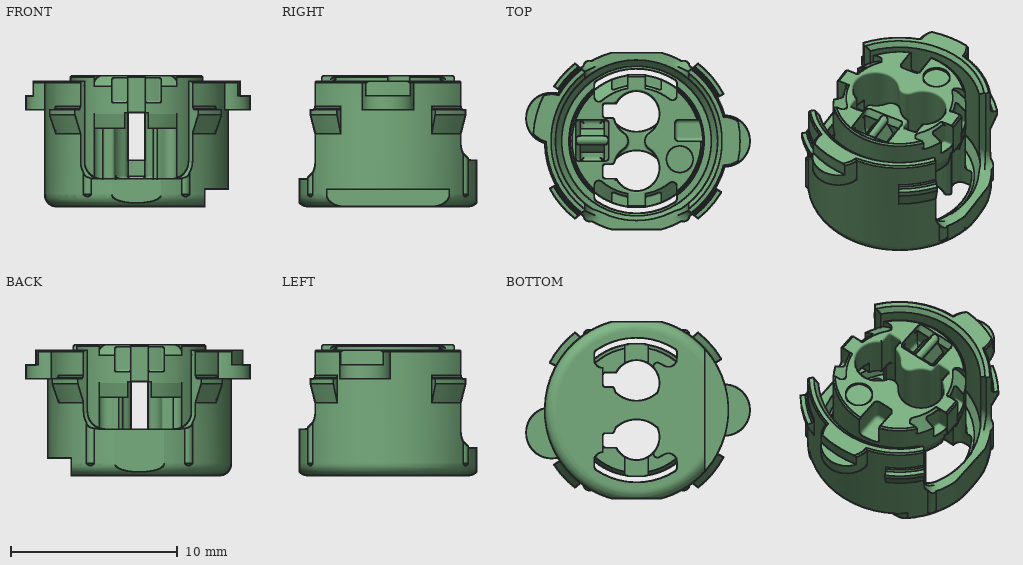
import cadquery as cq
import math

length = 13.42
cup_radius = 5.5
cup_height = 7.52
cup_bottom_round = 0.72
cup_inner_radius = 4.86
cup_taper_top = 1.83
floor_radius = 4.48
floor_top = 1.21
rim_chamfer = 0.1
rim_bevel = 0.27
flat_distance = 5.3
step_x = 4.09
step_height = 1.05

opening_half_width = 3.11
opening_flare_start = 4.16
opening_flare_run = 0.8
opening_flare_rise = 0.68
opening_corner_round = 1.03
opening_inner_y = 2.68
front_opening_bottom = 1.66
back_opening_bottom = 2.79

rib_x = 2.82
rib_y = 4.45
rib_radius = 0.36
rib_bottom = 0.6
rib_chamfer = 0.13

ear_radius = 1.55
left_ear_turn = 15.0
ear_bottom = 5.8
ear_step = 6.63
ear_step_radius = 6.2
ear_edge = 0.11

barb_radius = 5.93
barb_neck_radius = 5.65
barb_top = 5.8
barb_neck_top = 6.01
barb_neck_middle = (5.55, 5.89)
barb_edge = 5.49
barb_bottom = 4.37
barb_start_angle = 33.0
barb_end_angles = {(1, 1): 61.6, (1, -1): 59.0, (-1, -1): 61.4, (-1, 1): 56.5}

plug_radius = 3.97
plug_height = 7.85
plug_edge = 0.11
plug_foot = 0.08

window_center_x = -0.05
window_half_width = 2.47
window_outer_radius = 4.32
window_outer_round = 0.27
window_inner_radius = 3.13
window_inner_round = 0.51
head_bottom = 4.68
head_draft_top = 5.55
head_draft = 0.21

bevel_radius = 3.2
bevel_bottom = 7.2
bevel_round = 0.27
block_half_width = 0.52
notch_half_width = 1.49
notch_radius = 3.35
notch_bottom = 6.23
notch_round = 0.12
slot_half_width = 0.7
slot_top = 5.62

bore_y = 1.617
bore_radius = 1.37
waist_half_width = 0.503
waist_floor = 1.66
waist_floor_round = 0.17
web_half_width = 0.56
web_radius = 1.81
keyway_end = -2.01
keyway_inner_y = 1.4
keyway_outer_y = 2.24
keyway_round = 0.13
keyway_junction_round = 0.19
bore_edge = 0.13
lip_radius = 0.23

bar_pocket_x = -2.66
bar_pocket_y = 0.04
bar_pocket_size = (1.99, 2.5)
bar_pocket_floor_width = 1.42
bar_pocket_floor_round = 0.27
bar_pocket_corner = 0.2
bar_pocket_lip_depth = 0.4
bar_pocket_floor = 6.17
bar_radius = 0.27
bar_z = 7.54
bar_foot_half_width = 0.71
bar_foot_shoulder = 6.85
side_pocket_x = 2.3
side_pocket_low_y = -0.01
side_pocket_high_y = 1.29
side_pocket_floor = 6.17
side_pocket_round = 0.24
side_pocket_corner = 0.25
disc_x = 2.59
disc_y = -1.09
disc_diameter = 1.6
disc_depth = 0.13


def cylinder(radius, bottom, top, x=0.0, y=0.0):
    return cq.Workplane("XY", origin=(x, y, bottom)).circle(radius).extrude(top - bottom)


def block(x_range, y_range, z_range):
    size = [high - low for low, high in (x_range, y_range, z_range)]
    corner = (x_range[0], y_range[0], z_range[0])
    return cq.Workplane("XY").box(*size, centered=False).translate(corner)


def both_x_boxes(low, high):
    """Selects whatever is centred in a box or in its mirror image across X = 0."""
    mirrored = cq.selectors.BoxSelector((-high[0], *low[1:]), (-low[0], *high[1:]))
    return cq.selectors.BoxSelector(low, high) + mirrored


def revolved(points, angle=360.0):
    """Turn a closed (radius, z) outline about the Z axis."""
    return cq.Workplane("XZ").polyline(points).close().revolve(angle, (0, 0, 0), (0, 1, 0))


def both_sides(shape):
    return shape.union(shape.mirror("XZ"))


def make_cup():
    cup = cylinder(cup_radius, 0, cup_height)
    cup = cup.faces("<Z").edges().fillet(cup_bottom_round)
    cup = cup.faces(">Z").edges().chamfer(rim_chamfer)
    for x in (-rib_x, rib_x):
        for y in (-rib_y, rib_y):
            rib = cylinder(rib_radius, rib_bottom, cup_height / 2, x, y)
            cup = cup.union(rib.faces("<Z").chamfer(rib_chamfer))
    return cup


def make_ear(angle):
    """A round ear whose upper part is cut back concentric with the cup."""
    reach = (length - 2 * ear_radius) / (1 + math.cos(math.radians(left_ear_turn)))
    ear = cylinder(ear_radius, ear_bottom, cup_height, reach).faces(">Z").edges().chamfer(ear_edge)
    step = cylinder(length, ear_step, cup_height).cut(cylinder(ear_step_radius, ear_step, cup_height))
    return ear.cut(step).rotate((0, 0, 0), (0, 0, 1), angle)


def make_barb(side_x, side_y, end_angle):
    """A hooked ridge; its angles are measured from the Y axis."""
    profile = [
        (cup_inner_radius + rim_bevel, barb_bottom),
        (cup_radius, barb_bottom),
        (barb_radius, barb_edge),
        (barb_radius, barb_top),
        (barb_neck_radius, barb_top),
        barb_neck_middle,
        (cup_radius, barb_neck_top),
        (cup_inner_radius + rim_bevel, barb_neck_top),
    ]
    barb = revolved(profile, end_angle - barb_start_angle)
    barb = barb.rotate((0, 0, 0), (0, 0, 1), 90 - end_angle)
    if side_x < 0:
        barb = barb.mirror("YZ")
    if side_y < 0:
        barb = barb.mirror("XZ")
    return barb


def cup_cavity():
    return revolved([
        (0, floor_top),
        (floor_radius, floor_top),
        (cup_inner_radius, cup_taper_top),
        (cup_inner_radius, cup_height - rim_bevel),
        (cup_inner_radius + rim_bevel, cup_height),
        (0, cup_height),
    ])


def opening(bottom):
    """Tall opening on the +Y side, flared outward, with round lower corners."""
    flare_x = opening_half_width + opening_flare_run
    flare_y = opening_flare_start + opening_flare_rise
    half = [
        (opening_half_width, opening_inner_y),
        (opening_half_width, opening_flare_start),
        (flare_x, flare_y),
        (flare_x, length / 2),
    ]
    outline = half + [(-x, y) for x, y in reversed(half)]
    cutter = cq.Workplane("XY", origin=(0, 0, bottom)).polyline(outline).close()
    cutter = cutter.extrude(length)
    side_edges = both_x_boxes(
        (opening_half_width - 0.13, opening_inner_y, bottom - 0.13),
        (flare_x, flare_y, bottom + 0.13),
    )
    return cutter.faces("<Z").edges(side_edges).fillet(opening_corner_round)


def make_shell():
    shell = make_cup()
    shell = shell.union(make_ear(0)).union(make_ear(180 - left_ear_turn))
    for (side_x, side_y), end_angle in barb_end_angles.items():
        shell = shell.union(make_barb(side_x, side_y, end_angle))
    shell = shell.cut(cup_cavity())
    shell = shell.cut(opening(back_opening_bottom))
    shell = shell.cut(opening(front_opening_bottom).mirror("XZ"))
    limits = block((-length, length), (-flat_distance, flat_distance), (0, length))
    step = block((step_x, length), (-length, length), (0, step_height))
    return shell.intersect(limits).cut(step)


def window_band(inner_radius, inner_round, bottom, top):
    """Band on the +Y side between an inner arc and the outer window arc, with round corners."""
    ring = cylinder(window_outer_radius, bottom, top).cut(cylinder(inner_radius, bottom, top))
    left = window_center_x - window_half_width
    right = window_center_x + window_half_width
    band = ring.intersect(block((left, right), (0, length), (bottom, top)))
    middle = (inner_radius + window_outer_radius) / 2 * math.cos(math.asin(window_half_width / inner_radius))
    inner_box = cq.selectors.BoxSelector((-length, 0, bottom - 0.13), (length, middle, top + 0.13))
    band = band.edges("|Z").edges(inner_box).fillet(inner_round)
    outer_box = cq.selectors.BoxSelector((-length, middle, bottom - 0.13), (length, length, top + 0.13))
    return band.edges("|Z").edges(outer_box).fillet(window_outer_round)


def window():
    return window_band(window_inner_radius, window_inner_round, 0, head_bottom)


def head_underside():
    outside = revolved([
        (plug_radius - head_draft, head_bottom),
        (length, head_bottom),
        (length, head_draft_top),
        (plug_radius, head_draft_top),
    ])
    left = window_center_x - window_half_width
    right = window_center_x + window_half_width
    return outside.intersect(block((left, right), (0, length), (head_bottom, head_draft_top)))


def head_bevel():
    """Conical bevel over the window, leaving the middle block standing."""
    cone = revolved([
        (bevel_radius, plug_height),
        (plug_radius, bevel_bottom),
        (length, bevel_bottom),
        (length, plug_height),
    ])
    band = window_band(bevel_radius, bevel_round, bevel_bottom, plug_height)
    middle = block((-block_half_width, block_half_width), (0, length), (0, length))
    return cone.intersect(band).cut(middle)


def head_notches():
    right = block((block_half_width, notch_half_width), (0, length), (notch_bottom, length))
    right = right.cut(cylinder(notch_radius, notch_bottom, length))
    inner_box = cq.selectors.BoxSelector((0, 0, 0), (length, plug_radius, length))
    right = right.edges("|Z").edges(inner_box).fillet(notch_round)
    right = right.faces("<Z").edges().fillet(notch_round)
    return right.union(right.mirror("YZ"))


def middle_block():
    """Flat-faced block between the notches."""
    pad = block((-block_half_width, block_half_width), (notch_radius, plug_radius), (slot_top, plug_height))
    return pad.edges(">Z and >Y").chamfer(plug_edge)


def bore():
    """Twin bore whose waist walls are arcs tangent to both circles."""
    round_radius = (waist_half_width**2 + bore_y**2 - bore_radius**2) / (2 * (bore_radius - waist_half_width))
    round_x = waist_half_width + round_radius
    share = bore_radius / (bore_radius + round_radius)
    tangent_x = round_x * share
    tangent_y = bore_y * (1 - share)
    outline = (
        cq.Workplane("XY")
        .moveTo(tangent_x, tangent_y)
        .threePointArc((0, bore_y + bore_radius), (-tangent_x, tangent_y))
        .threePointArc((-waist_half_width, 0), (-tangent_x, -tangent_y))
        .threePointArc((0, -bore_y - bore_radius), (tangent_x, -tangent_y))
        .threePointArc((waist_half_width, 0), (tangent_x, tangent_y))
        .close()
    )
    keyway = block((keyway_end, 0), (keyway_inner_y, keyway_outer_y), (0, plug_height))
    keyway = keyway.edges("|Z and <X").fillet(keyway_round)
    junction_x = -math.sqrt(bore_radius**2 - (bore_y - keyway_inner_y) ** 2)
    cutter = outline.extrude(plug_height).union(both_sides(keyway))
    for y in (-keyway_inner_y, keyway_inner_y):
        junction = cq.selectors.NearestToPointSelector((junction_x, y, plug_height / 2))
        cutter = cutter.edges("|Z").edges(junction).fillet(keyway_junction_round)
    return cutter


def waist_web():
    """Low floor between the bores, bounded by an arc on either side."""
    web = block((-bore_radius, bore_radius), (-bore_y, bore_y), (0, waist_floor))
    arc = cylinder(web_radius, 0, waist_floor, 0, web_half_width + web_radius)
    return web.cut(both_sides(arc))


def bore_mouth():
    """Opens the bore and its keyway into the window, below the head."""
    lip_reach = bore_radius + lip_radius
    lip_ring = window_inner_radius - lip_radius
    lip_y = (lip_ring**2 - lip_reach**2 + bore_y**2) / (2 * bore_y)
    lip_x = math.sqrt(lip_ring**2 - lip_y**2)
    share = bore_radius / lip_reach
    tangent_y = bore_y + (lip_y - bore_y) * share
    mouth = block((keyway_end, lip_x), (tangent_y, window_inner_radius), (0, head_bottom))
    mouth = mouth.union(block((keyway_end, 0), (bore_y, tangent_y), (0, head_bottom)))
    mouth = mouth.cut(cylinder(lip_radius, 0, head_bottom, lip_x, lip_y))
    slot = block((-slot_half_width, slot_half_width), (bore_y, plug_radius), (0, slot_top))
    return mouth.union(slot)


def bar_pocket():
    """Deep well whose two X sides lean outward near the top."""
    half_width = bar_pocket_size[0] / 2
    half_floor = bar_pocket_floor_width / 2
    lip_bottom = plug_height - bar_pocket_lip_depth
    lip = (
        cq.Workplane("XZ", origin=(bar_pocket_x, bar_pocket_y, 0))
        .polyline([
            (-half_width, plug_height),
            (half_width, plug_height),
            (half_floor, lip_bottom),
            (-half_floor, lip_bottom),
        ])
        .close()
        .extrude(bar_pocket_size[1] / 2, both=True)
        .faces("<X or >X")
        .edges("not |Y")
        .fillet(bar_pocket_corner)
    )
    well = (
        cq.Workplane("XY", origin=(bar_pocket_x, bar_pocket_y, bar_pocket_floor))
        .rect(bar_pocket_floor_width, bar_pocket_size[1])
        .extrude(lip_bottom - bar_pocket_floor)
        .faces("<Z")
        .edges()
        .fillet(bar_pocket_floor_round)
    )
    return lip.union(well)


def pocket_bar():
    """Round bar across the pocket on a roof-shaped foot."""
    width = bar_pocket_size[0]
    start = bar_pocket_x - width / 2
    bar = cq.Workplane("YZ", origin=(start, bar_pocket_y, bar_z)).circle(bar_radius).extrude(width)
    foot = (
        cq.Workplane("YZ", origin=(bar_pocket_x - bar_pocket_floor_width / 2, bar_pocket_y, 0))
        .polyline([
            (-bar_foot_half_width, bar_pocket_floor),
            (bar_foot_half_width, bar_pocket_floor),
            (bar_foot_half_width, bar_foot_shoulder),
            (bar_radius, bar_z),
            (-bar_radius, bar_z),
            (-bar_foot_half_width, bar_foot_shoulder),
        ])
        .close()
        .extrude(bar_pocket_floor_width)
    )
    return bar.union(foot)


def side_pocket():
    pocket = block(
        (side_pocket_x, cup_inner_radius),
        (side_pocket_low_y, side_pocket_high_y),
        (side_pocket_floor, plug_height),
    )
    pocket = pocket.edges("|Z and <X").fillet(side_pocket_corner)
    return pocket.faces("<Z").edges("not >X").fillet(side_pocket_round)


def make_plug():
    plug = cylinder(plug_radius, 0, plug_height).faces(">Z").edges().chamfer(plug_edge)
    plug = plug.cut(bore().cut(waist_web()))
    waist = both_x_boxes((web_half_width / 2, -bore_y, waist_floor - 0.01), (bore_radius, bore_y, waist_floor + 0.01))
    plug = plug.edges(waist).fillet(waist_floor_round)
    reach = plug_radius - 2 * plug_edge
    bore_box = cq.selectors.BoxSelector((-reach, -reach, plug_height - 0.01), (reach, reach, plug_height + 0.01), True)
    plug = plug.edges(bore_box).fillet(bore_edge)
    foot = revolved([
        (plug_radius - plug_foot, floor_top),
        (plug_radius + plug_foot, floor_top),
        (plug_radius, floor_top + plug_foot),
        (plug_radius - plug_foot, floor_top + plug_foot),
    ])
    return plug.union(foot).union(both_sides(middle_block())).cut(side_pocket())


def make_body():
    floor_bore = cylinder(plug_radius, 0, floor_top)
    body = make_shell().cut(floor_bore).union(make_plug())
    for feature in (window(), head_underside(), head_bevel(), head_notches(), bore_mouth()):
        body = body.cut(both_sides(feature))
    body = body.cut(bar_pocket()).union(pocket_bar())
    return body.cut(cylinder(disc_diameter / 2, plug_height - disc_depth, plug_height, disc_x, disc_y))


result = make_body()